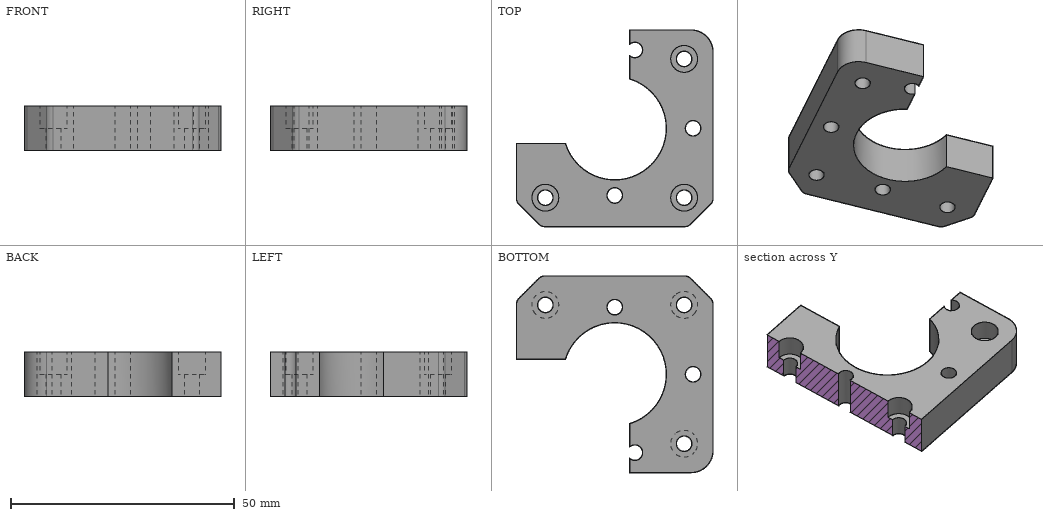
import cadquery as cq

side = 44.0
thickness = 10.0
half_side = side / 2

lower_chamfer = 5.6
chamfer_blend_radius = 2.0
upper_corner_radius = 5.0

bore_diameter = 23.0
opening_wall_offset = 3.35

hole_diameter = 3.4
counterbore_diameter = 6.0
counterbore_depth = 5.0
mount_offset = 15.5
mount_positions = [
    (mount_offset, mount_offset),
    (mount_offset, -mount_offset),
    (-mount_offset, -mount_offset),
]

right_hole_position = (17.5, 0)
lower_hole_position = (0, -15.0)
breakout_hole_position = (4.5, 17.5)
plain_hole_positions = [right_hole_position, lower_hole_position, breakout_hole_position]


def outer_block():
    """Square plate with blended chamfers on the -Y corners and a rounded +X, +Y corner."""
    block = cq.Workplane("XY").box(side, side, thickness, centered=(True, True, False))
    block = block.edges("|Z and <Y").chamfer(lower_chamfer)
    block = block.edges("|Z and (not >Y)").fillet(chamfer_blend_radius)
    return block.edges("|Z").edges(">(1, 1, 0)").fillet(upper_corner_radius)


def opening():
    """Square cutter that removes the -X, +Y corner up to the two opening walls."""
    return (
        cq.Workplane("XY")
        .moveTo(opening_wall_offset, -opening_wall_offset)
        .lineTo(opening_wall_offset, half_side)
        .lineTo(-half_side, half_side)
        .lineTo(-half_side, -opening_wall_offset)
        .close()
        .extrude(thickness)
    )


def cylinders(positions, diameter, bottom=0.0):
    """Vertical round cutters from the given height up to the top face."""
    return (
        cq.Workplane("XY")
        .workplane(offset=bottom)
        .pushPoints(positions)
        .circle(diameter / 2)
        .extrude(thickness - bottom)
    )


result = (
    outer_block()
    .cut(opening())
    .cut(cylinders([(0, 0)], bore_diameter))
    .cut(cylinders(mount_positions + plain_hole_positions, hole_diameter))
    .cut(cylinders(mount_positions, counterbore_diameter, thickness - counterbore_depth))
)